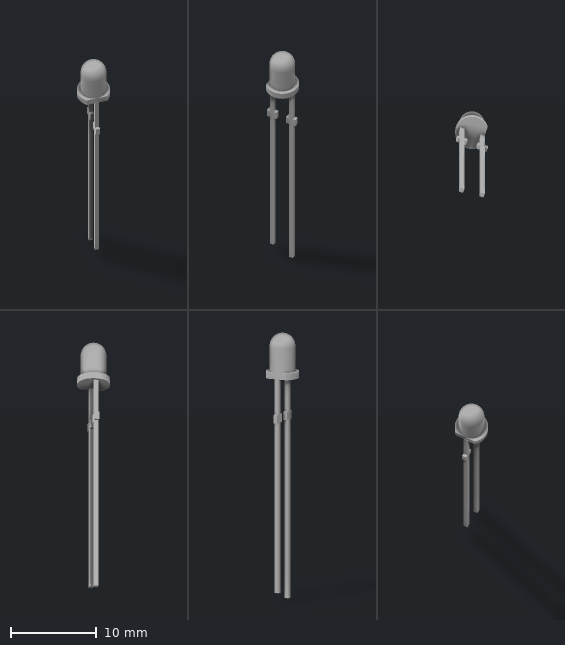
import cadquery as cq

total_height = 31.7

body_diameter = 3.0
body_radius = body_diameter / 2
body_height = 5.3

flange_diameter = 3.9
flange_thickness = 0.8

lead_width = 0.5
lead_spacing = 2.55
long_lead_length = total_height - body_height
lead_length_difference = 1.0
short_lead_length = long_lead_length - lead_length_difference

stopper_width = 1.25
stopper_height = 0.98
stopper_drop = 4.2


def make_lens():
    """Revolve half the lens outline about the Z axis."""
    shoulder = body_height - body_radius
    diagonal = body_radius * 0.5 ** 0.5
    return (
        cq.Workplane("XZ")
        .lineTo(body_radius, 0)
        .lineTo(body_radius, shoulder)
        .threePointArc((diagonal, shoulder + diagonal), (0, body_height))
        .close()
        .revolve(360, (0, 0, 0), (0, 1, 0))
    )


def make_flange():
    disc = cq.Workplane("XY").circle(flange_diameter / 2).extrude(flange_thickness)
    beyond_flat = (
        cq.Workplane("XY")
        .box(flange_diameter, flange_diameter, flange_thickness, centered=(False, True, False))
        .translate((body_radius, 0, 0))
    )
    return disc.cut(beyond_flat)


def make_lead(x, length):
    lead = cq.Workplane("XY").center(x, 0).rect(lead_width, lead_width).extrude(-length)
    stopper = (
        cq.Workplane("XY", origin=(x, 0, -stopper_drop))
        .rect(stopper_width, lead_width)
        .extrude(-stopper_height)
    )
    return lead.union(stopper)


long_lead = make_lead(-lead_spacing / 2, long_lead_length)
short_lead = make_lead(lead_spacing / 2, short_lead_length)
result = make_lens().union(make_flange()).union(long_lead).union(short_lead)